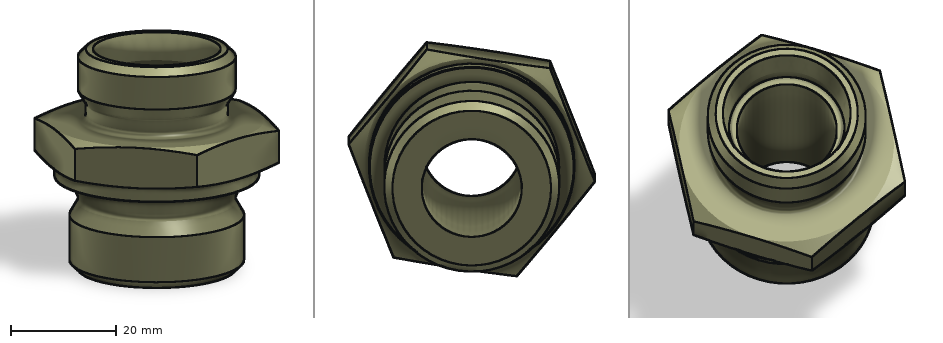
import cadquery as cq
import math

hex_corner_diameter = 47.35
hex_bottom = 20.95
hex_top = 28.95
hex_chamfer_angle = 15.0
hex_face_radius = 20.4

stud_radius = 33.25 / 2
stud_chamfer = 1.55
stud_top = 10.4
groove_radius = 15.1
groove_round_bottom = 13.05
groove_round_top = 14.45
groove_round_depth = 0.15
flange_radius = 39.0 / 2
flange_bottom = 18.05
flange_chamfer = 0.15

total_height = 43.0
neck_radius = 27.0 / 2
neck_fillet = 1.25
neck_top = 32.35
neck_cone_bottom = 32.75
neck_cone_radius = 13.7
head_radius = 30.0 / 2
head_bottom = 35.1
head_chamfer = head_radius - neck_radius

bore_radius = 19.0 / 2
socket_radius = 22.0 / 2
socket_depth = 7.5
mouth_radius = 12.1
mouth_half_angle = 12.0


def revolve_profile(profile):
    """Revolve a closed radius-height profile about the Z axis."""
    return profile.close().revolve(360, (0, 0, 0), (0, 1, 0))


def make_turned_body():
    """Solid of the two studs, the flange and the core inside the hexagon."""
    groove_middle = (groove_round_bottom + groove_round_top) / 2
    fillet_reach = neck_fillet * (1 - math.sqrt(0.5))
    profile = (
        cq.Workplane("XZ")
        .lineTo(stud_radius - stud_chamfer, 0)
        .lineTo(stud_radius, stud_chamfer)
        .lineTo(stud_radius, stud_top)
        .lineTo(groove_radius, groove_round_bottom)
        .threePointArc(
            (groove_radius - groove_round_depth, groove_middle),
            (groove_radius, groove_round_top),
        )
        .lineTo(stud_radius, flange_bottom)
        .lineTo(flange_radius - flange_chamfer, flange_bottom)
        .lineTo(flange_radius, flange_bottom + flange_chamfer)
        .lineTo(flange_radius, hex_top)
        .lineTo(neck_radius + neck_fillet, hex_top)
        .threePointArc(
            (neck_radius + fillet_reach, hex_top + fillet_reach),
            (neck_radius, hex_top + neck_fillet),
        )
        .lineTo(neck_radius, neck_top)
        .tangentArcPoint((neck_cone_radius, neck_cone_bottom), relative=False)
        .lineTo(head_radius, head_bottom)
        .lineTo(head_radius, total_height - head_chamfer)
        .lineTo(head_radius - head_chamfer, total_height)
        .lineTo(0, total_height)
    )
    return revolve_profile(profile)


def make_hexagon():
    """Hexagon with its corners turned off conically at both faces."""
    prism = (
        cq.Workplane("XY", origin=(0, 0, hex_bottom))
        .polygon(6, hex_corner_diameter)
        .extrude(hex_top - hex_bottom)
        .rotate((0, 0, 0), (0, 0, 1), 30)
    )
    corner_radius = hex_corner_diameter / 2
    corner_drop = (corner_radius - hex_face_radius) * math.tan(math.radians(hex_chamfer_angle))
    envelope = (
        cq.Workplane("XZ")
        .moveTo(0, hex_bottom)
        .lineTo(hex_face_radius, hex_bottom)
        .lineTo(corner_radius, hex_bottom + corner_drop)
        .lineTo(corner_radius, hex_top - corner_drop)
        .lineTo(hex_face_radius, hex_top)
        .lineTo(0, hex_top)
    )
    return prism.intersect(revolve_profile(envelope))


def make_bore():
    """Through bore, stepped up to the socket and its tapered mouth."""
    socket_bottom = total_height - socket_depth
    taper_depth = (mouth_radius - socket_radius) / math.tan(math.radians(mouth_half_angle))
    profile = (
        cq.Workplane("XZ")
        .lineTo(bore_radius, 0)
        .lineTo(bore_radius, socket_bottom)
        .lineTo(socket_radius, socket_bottom)
        .lineTo(socket_radius, total_height - taper_depth)
        .lineTo(mouth_radius, total_height)
        .lineTo(0, total_height)
    )
    return revolve_profile(profile)


result = make_turned_body().union(make_hexagon()).cut(make_bore())